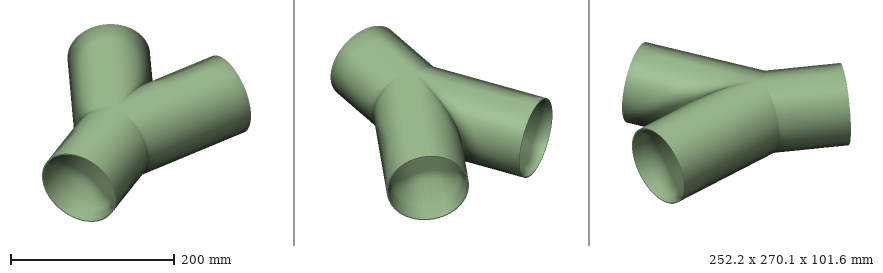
import cadquery as cq
import math

OUTER_DIAMETER = 101.6
INNER_DIAMETER = 98.3
BRANCH_ANGLE = 30.0
OVERALL_WIDTH = 252.18
OVERALL_LENGTH = 270.1

outer_radius = OUTER_DIAMETER / 2
inner_radius = INNER_DIAMETER / 2
angle = math.radians(BRANCH_ANGLE)

branch_length = (OVERALL_WIDTH / 2 - outer_radius * math.cos(angle)) / math.sin(angle)
branch_reach = branch_length * math.cos(angle) + outer_radius * math.sin(angle)
inlet_length = OVERALL_LENGTH - branch_reach

trim_size = OVERALL_LENGTH
mitre_drop = trim_size * math.tan(angle / 2)


def cylinder(radius, start, direction, length):
    return cq.Workplane(cq.Solid.makeCylinder(radius, length, cq.Vector(*start), cq.Vector(*direction)))


def trim_region(points):
    """Prism over an XY outline, tall enough to span the pipes in Z."""
    return cq.Workplane("XY").polyline(points).close().extrude(outer_radius * 2, both=True)


def inlet(radius):
    """Straight leg, cut on both mitre planes."""
    region = trim_region([
        (0, 0),
        (trim_size, -mitre_drop),
        (trim_size, -2 * trim_size),
        (-trim_size, -2 * trim_size),
        (-trim_size, -mitre_drop),
    ])
    leg = cylinder(radius, (0, -inlet_length, 0), (0, 1, 0), inlet_length + outer_radius)
    return leg.intersect(region)


def branch(radius, side):
    """Angled leg on one side (+1 or -1 in X), cut on its mitre plane and on the plane X = 0."""
    region = trim_region([
        (0, 0),
        (side * trim_size, -mitre_drop),
        (side * trim_size, trim_size),
        (0, trim_size),
    ])
    direction = (side * math.sin(angle), math.cos(angle), 0)
    start = tuple(-outer_radius * component for component in direction)
    leg = cylinder(radius, start, direction, outer_radius + branch_length)
    return leg.intersect(region)


def junction(radius):
    """Solid Y of the given radius."""
    return inlet(radius).union(branch(radius, 1)).union(branch(radius, -1))


result = junction(outer_radius).cut(junction(inner_radius))